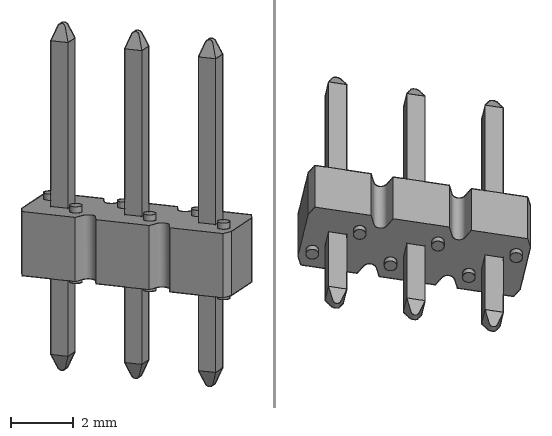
import cadquery as cq
import math

PIN_COUNT = 3
PITCH = 2.54

PIN_LENGTH = 11.5
PIN_WIDTH = 0.6
TIP_LENGTH = 0.55
TIP_RADIUS = 0.14

HOUSING_LENGTH = 7.22
HOUSING_DEPTH = 2.42
HOUSING_HEIGHT = 2.13
HOUSING_CENTER_Z = -1.36
CELL_FLAT = 1.83
CHAMFER_DEPTH = 0.33
NOTCH_DEPTH = 0.46
NOTCH_RADIUS = 0.23

STUD_DIAMETER = 0.4
STUD_HEIGHT = 0.21
STUD_OFFSET_X = 0.67
STUD_OFFSET_Y = 0.54

PIN_XS = [(i - (PIN_COUNT - 1) / 2) * PITCH for i in range(PIN_COUNT)]
NOTCH_XS = [(left + right) / 2 for left, right in zip(PIN_XS, PIN_XS[1:])]
HOUSING_BOTTOM_Z = HOUSING_CENTER_Z - HOUSING_HEIGHT / 2


def tangent_point(corner_x, corner_height, radius):
    """Where a line from a corner touches an arc centred on the origin.

    The corner lies at (corner_x, corner_height). Of the two tangents from
    it, this is the one that touches nearer to the arc's crown at (0, -radius).
    """
    corner_distance = math.hypot(corner_x, corner_height)
    corner_angle = math.atan2(corner_height, corner_x)
    angle = corner_angle - math.acos(radius / corner_distance)
    return radius * math.cos(angle), radius * math.sin(angle)


def housing_block():
    """Extruded bar with its four vertical corners cut off at a slant."""
    half_length = HOUSING_LENGTH / 2
    half_depth = HOUSING_DEPTH / 2
    flat_end_x = PIN_XS[-1] + CELL_FLAT / 2
    side_end_y = half_depth - CHAMFER_DEPTH
    return (
        cq.Workplane("XY", origin=(0, 0, HOUSING_BOTTOM_Z))
        .moveTo(-flat_end_x, -half_depth)
        .lineTo(flat_end_x, -half_depth)
        .lineTo(half_length, -side_end_y)
        .lineTo(half_length, side_end_y)
        .lineTo(flat_end_x, half_depth)
        .lineTo(-flat_end_x, half_depth)
        .lineTo(-half_length, side_end_y)
        .lineTo(-half_length, -side_end_y)
        .close()
        .extrude(HOUSING_HEIGHT)
    )


def notch(x, side):
    """Round-bottomed V notch between two pins; side is +1 or -1 along Y."""
    half_mouth = (PITCH - CELL_FLAT) / 2
    mouth_y = HOUSING_DEPTH / 2
    bottom_y = mouth_y - NOTCH_DEPTH
    arc_center_y = bottom_y + NOTCH_RADIUS

    tangent_x, tangent_rise = tangent_point(half_mouth, mouth_y - arc_center_y, NOTCH_RADIUS)
    tangent_y = arc_center_y + tangent_rise

    return (
        cq.Workplane("XY", origin=(0, 0, HOUSING_BOTTOM_Z))
        .moveTo(x - half_mouth, side * mouth_y)
        .lineTo(x - tangent_x, side * tangent_y)
        .threePointArc((x, side * bottom_y), (x + tangent_x, side * tangent_y))
        .lineTo(x + half_mouth, side * mouth_y)
        .close()
        .extrude(HOUSING_HEIGHT)
    )


def studs():
    """Diagonal pair of studs beside each pin, standing out of both faces."""
    centers = []
    for x in PIN_XS:
        centers.append((x - STUD_OFFSET_X, STUD_OFFSET_Y))
        centers.append((x + STUD_OFFSET_X, -STUD_OFFSET_Y))
    return (
        cq.Workplane("XY", origin=(0, 0, HOUSING_BOTTOM_Z - STUD_HEIGHT))
        .pushPoints(centers)
        .circle(STUD_DIAMETER / 2)
        .extrude(HOUSING_HEIGHT + 2 * STUD_HEIGHT)
    )


def make_housing():
    """Housing with notches, studs and a square through hole for each pin."""
    body = housing_block()
    for x in NOTCH_XS:
        for side in (-1, 1):
            body = body.cut(notch(x, side))
    body = body.union(studs())
    pin_holes = (
        cq.Workplane("XY", origin=(0, 0, HOUSING_BOTTOM_Z))
        .pushPoints([(x, 0) for x in PIN_XS])
        .rect(PIN_WIDTH, PIN_WIDTH)
        .extrude(HOUSING_HEIGHT)
    )
    return body.cut(pin_holes)


def make_pin(x):
    """Square pin whose tips taper on four sides and are rounded across X."""
    half_length = PIN_LENGTH / 2
    half_width = PIN_WIDTH / 2
    shoulder_z = half_length - TIP_LENGTH

    arc_center_z = half_length - TIP_RADIUS
    arc_x, arc_drop = tangent_point(half_width, arc_center_z - shoulder_z, TIP_RADIUS)
    arc_z = arc_center_z - arc_drop

    taper_slope = (half_width - arc_x) / (arc_z - shoulder_z)
    half_end = half_width - TIP_LENGTH * taper_slope
    flat_profile = (
        cq.Workplane("YZ")
        .moveTo(-half_width, -shoulder_z)
        .lineTo(-half_width, shoulder_z)
        .lineTo(-half_end, half_length)
        .lineTo(half_end, half_length)
        .lineTo(half_width, shoulder_z)
        .lineTo(half_width, -shoulder_z)
        .lineTo(half_end, -half_length)
        .lineTo(-half_end, -half_length)
        .close()
        .extrude(half_width, both=True)
    )

    round_profile = (
        cq.Workplane("XZ")
        .moveTo(-half_width, -shoulder_z)
        .lineTo(-half_width, shoulder_z)
        .lineTo(-arc_x, arc_z)
        .threePointArc((0, half_length), (arc_x, arc_z))
        .lineTo(half_width, shoulder_z)
        .lineTo(half_width, -shoulder_z)
        .lineTo(arc_x, -arc_z)
        .threePointArc((0, -half_length), (-arc_x, -arc_z))
        .close()
        .extrude(half_width, both=True)
    )
    return flat_profile.intersect(round_profile).translate((x, 0, 0))


housing = make_housing()
pins = [make_pin(x) for x in PIN_XS]

result = cq.Compound.makeCompound([housing.val(), *[pin.val() for pin in pins]])